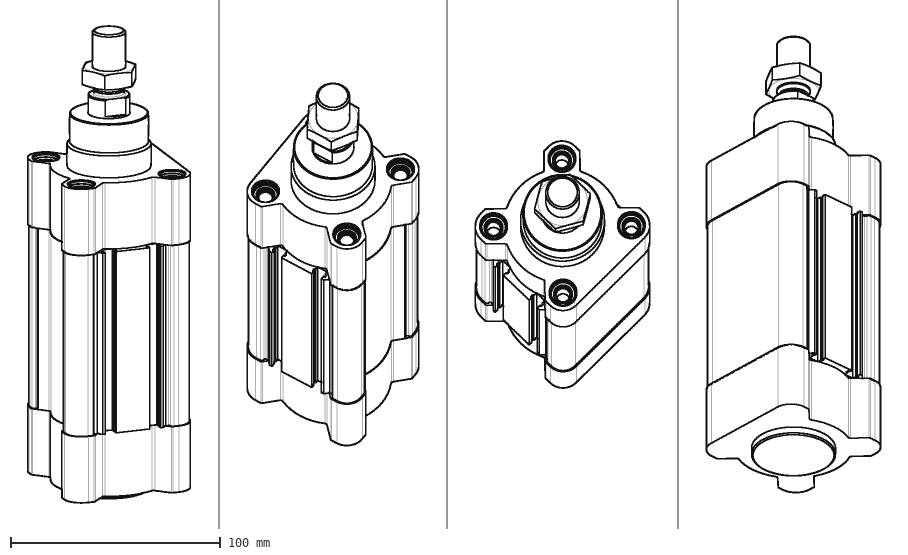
import cadquery as cq
import math


cut_overshoot = 2.3

total_height = 227.8
cap_length = 33.0
rear_collar_height = 3.9
tube_length = 90.5
tube_bottom = rear_collar_height + cap_length
tube_top = tube_bottom + tube_length
front_face = tube_top + cap_length

cap_width = 64.0
cap_half = cap_width / 2
bolt_offset = 23.2
diagonal_start = 19.8
post_diagonal_offset = cap_half - diagonal_start
hollow_sides = (-90, 0, 180)
core_radius = 28.0
cap_valley_fillet = 1.1
post_edge_fillet = 1.0

collar_diameter = 40.0
collar_step_height = 171.3
collar_step_rise = 1.1
neck_diameter = 37.5
neck_bulge = 0.2
neck_top = 186.8
edge_break = 0.7
neck_edge_break = 0.5

socket_mouth_diameter = 13.2
socket_step_diameters = (12.0, 11.5, 8.9, 8.0)
socket_step_depth = 1.1
socket_core_diameter = 6.5
socket_core_depth = 16.0
drill_tip_angle = 118.0

tube_half = 31.5
tube_core_radius = 27.8
tube_diagonal_setback = 0.2
tube_valley_fillet = 1.5
rail_half_width = 8.7
slot_wall = 14.1
slot_floor = 26.5
slot_undercut_floor = 28.2
slot_undercut_height = 1.4
slot_undercut_widening = 0.7
lip_face_width = 2.0
groove_start = 17.5
groove_depth = 2.0
groove_wall = 19.5
groove_edge_radius = 1.4
groove_root_radius = groove_depth - groove_edge_radius

rod_diameter = 20.0
rod_flats = 17.0
flats_clearance = 1.0
flats_bottom = neck_top + flats_clearance
shoulder_height = 196.1
shoulder_break = 0.5
shank_root_fillet = 0.7
shank_diameter = 14.4
shank_top = 198.2
undercut_diameter = 14.0
undercut_top = 199.0
thread_diameter = 16.0
thread_start = 201.1
rod_end_chamfer = 1.0
rod_bottom = tube_top

nut_flats = 24.0
nut_height = 8.0
nut_bottom = 201.8
nut_face_diameter = 23.7
hexagon_half_angle = 30.0
nut_bevel_angle = 15.0


def turned(solid, side):
    """Turn a feature made for the +X side to the side at the given angle."""
    return solid.rotate((0, 0, 0), (0, 0, 1), side)


def post_block(half, length):
    """Square block whose rounded corners are centred on the corner screws."""
    return cq.Workplane("XY").rect(2 * half, 2 * half).extrude(length).edges("|Z").fillet(half - bolt_offset)


def side_hollow(diagonal_offset, radius, valley_fillet, length):
    """Space on the +X side between two 45-degree post faces and the round core."""
    reach = cap_half + cut_overshoot
    wedge = (
        cq.Workplane("XY")
        .polyline(
            [
                (diagonal_offset, 0),
                (reach, reach - diagonal_offset),
                (reach, diagonal_offset - reach),
            ]
        )
        .close()
        .extrude(length)
    )
    hollow = wedge.cut(cq.Workplane("XY").circle(radius).extrude(length))
    chord = math.sqrt(2 * radius**2 - diagonal_offset**2)
    valley_x = (chord + diagonal_offset) / 2
    valley_y = (chord - diagonal_offset) / 2
    for y in (valley_y, -valley_y):
        valley = cq.selectors.NearestToPointSelector((valley_x, y, length / 2))
        hollow = hollow.edges(valley).fillet(valley_fillet)
    return hollow


def cap(bottom):
    """End cap: a square block with rounded posts and hollows on three sides, around a round core."""
    block = post_block(cap_half, cap_length)
    hollow = side_hollow(post_diagonal_offset, core_radius, cap_valley_fillet, cap_length)
    for side in hollow_sides:
        block = block.cut(turned(hollow, side))
    front_edges = [(x * diagonal_start, -cap_half) for x in (-1, 1)]
    side_edges = [(x * cap_half, y * diagonal_start) for x in (-1, 1) for y in (-1, 1)]
    for x, y in front_edges + side_edges:
        post_edge = cq.selectors.NearestToPointSelector((x, y, cap_length / 2))
        block = block.edges(post_edge).fillet(post_edge_fillet)
    return block.translate((0, 0, bottom))


def corner_groove(lip_width):
    """Groove beside a post on the +X, +Y corner: a face rising to the lip, a flat and an S-shaped wall.

    With no lip width the groove starts square, where the 45-degree post face ends.
    """
    floor = tube_half - groove_depth
    outside = tube_half + cut_overshoot
    bend = math.sqrt(0.5)
    root_start = groove_wall - groove_root_radius
    edge_end = groove_wall + groove_edge_radius
    return (
        cq.Workplane("XY")
        .moveTo(outside, groove_start - lip_width)
        .lineTo(tube_half, groove_start - lip_width)
        .lineTo(floor, groove_start)
        .lineTo(floor, root_start)
        .threePointArc(
            (floor + groove_root_radius * (1 - bend), root_start + groove_root_radius * bend),
            (floor + groove_root_radius, groove_wall),
        )
        .threePointArc(
            (tube_half - groove_edge_radius * (1 - bend), edge_end - groove_edge_radius * bend),
            (tube_half, edge_end),
        )
        .lineTo(outside, edge_end)
        .close()
        .extrude(tube_length)
    )


def slot_bars(inner_x, height, width, slot_y):
    """Four lengthwise bars, two on the left side and two on the right, reaching out from inner_x."""
    bar_x = inner_x + height / 2
    return (
        cq.Workplane("XY")
        .rect(2 * bar_x, 2 * slot_y, forConstruction=True)
        .vertices()
        .rect(height, width)
        .extrude(tube_length)
    )


def tube():
    """Profile barrel: slotted left and right sides, a hollow front and a plain back."""
    slot_width = slot_wall - rail_half_width
    slot_y = rail_half_width + slot_width / 2
    mouth_height = tube_half - slot_floor + cut_overshoot
    undercut_width = slot_width + 2 * slot_undercut_widening
    diagonal_offset = post_diagonal_offset + tube_diagonal_setback
    body = post_block(tube_half, tube_length)
    body = body.cut(slot_bars(slot_floor, mouth_height, slot_width, slot_y))
    body = body.cut(slot_bars(slot_undercut_floor, slot_undercut_height, undercut_width, slot_y))
    hollow = side_hollow(diagonal_offset, tube_core_radius, tube_valley_fillet, tube_length)
    body = body.cut(turned(hollow, -90))
    for side, lip_width in ((-90, 0.0), (0, lip_face_width), (180, lip_face_width)):
        groove = corner_groove(lip_width)
        for half in (groove, groove.mirror("XZ")):
            body = body.cut(turned(half, side))
    return body.translate((0, 0, tube_bottom))


def collars():
    """Rear spigot, front spigot and the slightly barrelled neck, as one revolved core."""
    collar_radius = collar_diameter / 2
    neck_radius = neck_diameter / 2
    neck_bottom = collar_step_height + collar_step_rise
    return (
        cq.Workplane("XZ")
        .moveTo(0, 0)
        .lineTo(collar_radius - edge_break, 0)
        .lineTo(collar_radius, edge_break)
        .lineTo(collar_radius, collar_step_height)
        .lineTo(neck_radius, neck_bottom)
        .threePointArc(
            (neck_radius + neck_bulge, (neck_bottom + neck_top) / 2),
            (neck_radius, neck_top - neck_edge_break),
        )
        .lineTo(neck_radius - neck_edge_break, neck_top)
        .lineTo(0, neck_top)
        .close()
        .revolve(360, (0, 0, 0), (0, 1, 0))
    )


def screw_socket():
    """Stepped bore in a corner post with a drilled tip, measured down from the front face."""
    mouth = socket_mouth_diameter / 2
    core = socket_core_diameter / 2
    tip_drop = core / math.tan(math.radians(drill_tip_angle / 2))
    depth = mouth - socket_step_diameters[0] / 2
    profile = cq.Workplane("XZ").moveTo(0, 0).lineTo(mouth, 0)
    for diameter in socket_step_diameters:
        profile = profile.lineTo(diameter / 2, -depth)
        depth += socket_step_depth
        profile = profile.lineTo(diameter / 2, -depth)
    return (
        profile.lineTo(core, -depth)
        .lineTo(core, -socket_core_depth)
        .lineTo(0, -socket_core_depth - tip_drop)
        .close()
        .revolve(360, (0, 0, 0), (0, 1, 0))
    )


def make_housing():
    body = cap(rear_collar_height).union(tube()).union(cap(tube_top)).union(collars())
    for x in (-bolt_offset, bolt_offset):
        for y in (-bolt_offset, bolt_offset):
            body = body.cut(screw_socket().translate((x, y, front_face)))
    rod_bore = cq.Workplane("XY", origin=(0, 0, rod_bottom)).circle(rod_diameter / 2)
    return body.cut(rod_bore.extrude(neck_top - rod_bottom))


def make_rod():
    """Piston rod with wrench flats, an undercut and a plain cylinder at the thread diameter."""
    rod_radius = rod_diameter / 2
    shank_radius = shank_diameter / 2
    undercut_radius = undercut_diameter / 2
    thread_radius = thread_diameter / 2
    root = shank_root_fillet
    bend = math.sqrt(0.5)
    rod = (
        cq.Workplane("XZ")
        .moveTo(0, rod_bottom)
        .lineTo(rod_radius, rod_bottom)
        .lineTo(rod_radius, shoulder_height - shoulder_break)
        .lineTo(rod_radius - shoulder_break, shoulder_height)
        .lineTo(shank_radius + root, shoulder_height)
        .threePointArc(
            (shank_radius + root * (1 - bend), shoulder_height + root * (1 - bend)),
            (shank_radius, shoulder_height + root),
        )
        .lineTo(shank_radius, shank_top)
        .lineTo(undercut_radius, shank_top)
        .lineTo(undercut_radius, undercut_top)
        .lineTo(thread_radius, thread_start)
        .lineTo(thread_radius, total_height - rod_end_chamfer)
        .lineTo(thread_radius - rod_end_chamfer, total_height)
        .lineTo(0, total_height)
        .close()
        .revolve(360, (0, 0, 0), (0, 1, 0))
    )
    flat_depth = rod_radius - rod_flats / 2
    for side in (-1, 1):
        flat = (
            cq.Workplane("XY", origin=(side * (rod_radius + rod_flats / 2) / 2, 0, flats_bottom))
            .rect(flat_depth, rod_diameter)
            .extrude(shoulder_height - flats_bottom)
        )
        rod = rod.cut(flat)
    return rod


def make_nut():
    """Hexagon nut with flats facing left and right, its corners bevelled at both ends."""
    across_corners = nut_flats / math.cos(math.radians(hexagon_half_angle))
    corner_radius = across_corners / 2
    face_radius = nut_face_diameter / 2
    bevel_drop = (corner_radius - face_radius) * math.tan(math.radians(nut_bevel_angle))
    nut_top = nut_bottom + nut_height
    hexagon = (
        cq.Workplane("XY", origin=(0, 0, nut_bottom))
        .transformed(rotate=(0, 0, hexagon_half_angle))
        .polygon(6, across_corners)
        .circle(thread_diameter / 2)
        .extrude(nut_height)
    )
    bevelled_disc = (
        cq.Workplane("XZ")
        .polyline(
            [
                (0, nut_bottom),
                (face_radius, nut_bottom),
                (corner_radius, nut_bottom + bevel_drop),
                (corner_radius, nut_top - bevel_drop),
                (face_radius, nut_top),
                (0, nut_top),
            ]
        )
        .close()
        .revolve(360, (0, 0, 0), (0, 1, 0))
    )
    return hexagon.intersect(bevelled_disc)


housing = make_housing()
rod = make_rod()
nut = make_nut()

result = cq.Compound.makeCompound([body.solids().val() for body in (housing, rod, nut)])